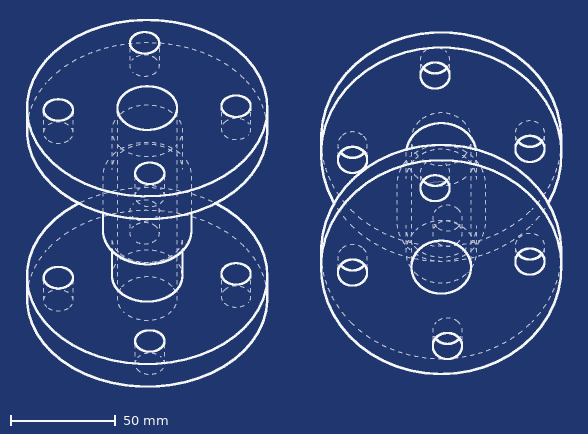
import cadquery as cq
import math

overall_height = 134.0
flange_diameter = 115.0
flange_thickness = 16.0
bolt_circle_diameter = 85.0
bolt_hole_diameter = 14.0
bolt_hole_count = 4
first_bolt_angle = 45.0

bore_diameter = 28.5
pipe_diameter = 33.7
body_diameter = 42.4
body_straight_length = 37.6
shoulder_radius = 3.2
neck_radius = 2.8

half_height = overall_height / 2
flange_radius = flange_diameter / 2
flange_inner_height = half_height - flange_thickness
pipe_radius = pipe_diameter / 2
body_radius = body_diameter / 2
half_body = body_straight_length / 2

blend_angle = math.acos(1 - (body_radius - pipe_radius) / (shoulder_radius + neck_radius))


def shoulder_point(angle):
    """Radius and height on the shoulder arc after turning through an angle."""
    radius = body_radius - shoulder_radius * (1 - math.cos(angle))
    height = half_body + shoulder_radius * math.sin(angle)
    return radius, height


def neck_point(angle):
    """Radius and height on the neck arc, by the angle left to the pipe wall."""
    radius = pipe_radius + neck_radius * (1 - math.cos(angle))
    blend_height = (shoulder_radius + neck_radius) * math.sin(blend_angle)
    height = half_body + blend_height - neck_radius * math.sin(angle)
    return radius, height


def below(point):
    """The same profile point on the lower half of the part."""
    radius, height = point
    return radius, -height


def solid_blank():
    """Pipe, centre body and both flanges as one solid, turned about Z."""
    blend_middle = blend_angle / 2
    profile = (
        cq.Workplane("XZ")
        .moveTo(0, -half_height)
        .lineTo(flange_radius, -half_height)
        .lineTo(flange_radius, -flange_inner_height)
        .lineTo(pipe_radius, -flange_inner_height)
        .lineTo(*below(neck_point(0)))
        .threePointArc(below(neck_point(blend_middle)), below(neck_point(blend_angle)))
        .threePointArc(below(shoulder_point(blend_middle)), below(shoulder_point(0)))
        .lineTo(*shoulder_point(0))
        .threePointArc(shoulder_point(blend_middle), shoulder_point(blend_angle))
        .threePointArc(neck_point(blend_middle), neck_point(0))
        .lineTo(pipe_radius, flange_inner_height)
        .lineTo(flange_radius, flange_inner_height)
        .lineTo(flange_radius, half_height)
        .lineTo(0, half_height)
        .close()
    )
    return profile.revolve(360, (0, 0, 0), (0, 1, 0))


def bolt_holes():
    """Cutters for the bolt holes, passing through both flanges."""
    return (
        cq.Workplane("XY")
        .polarArray(bolt_circle_diameter / 2, first_bolt_angle, 360, bolt_hole_count)
        .circle(bolt_hole_diameter / 2)
        .extrude(half_height, both=True)
    )


def bore():
    """Cutter for the straight bore along the whole part."""
    return cq.Workplane("XY").circle(bore_diameter / 2).extrude(half_height, both=True)


result = solid_blank().cut(bolt_holes()).cut(bore())